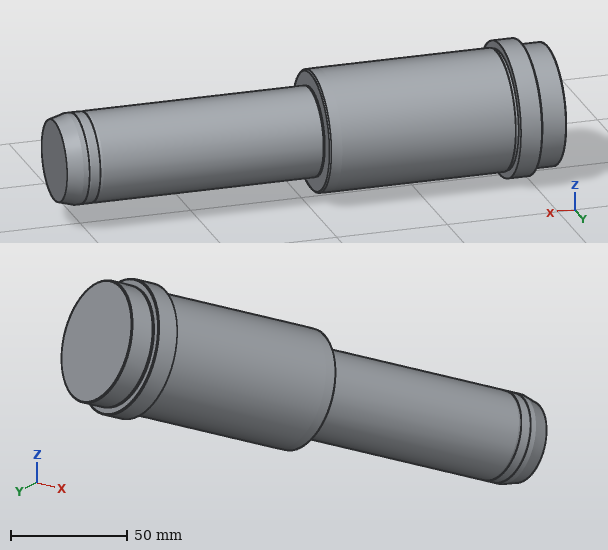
import cadquery as cq

total_length = 223.0
flange_start = 11.8
flange_end = 21.6
lead_start = 101.5
body_end = 107.0
wide_groove_start = 207.2
narrow_groove_start = 212.5
tip_start = 216.0

flange_radius = 60.0 / 2
body_radius = 54.0 / 2
shaft_radius = 40.0 / 2
tip_end_radius = 18.0

end_chamfer = 0.5
flange_chamfer = 0.5
body_chamfer = 0.7
lead_drop = 0.1

front_relief_width = 1.0
front_relief_depth = 0.2
rear_relief_width = 1.3
rear_relief_depth = 0.5
shaft_relief_width = 0.7
shaft_relief_depth = 0.11

wide_groove_width = 1.3
wide_groove_depth = 0.27
narrow_groove_width = 1.0
narrow_groove_depth = 0.2


def turned_blank():
    """Stepped pin without its grooves: flanged body, shaft and tapered tip."""
    lead_radius = body_radius - lead_drop
    half_profile = (
        cq.Workplane("XY")
        .lineTo(0, body_radius - end_chamfer)
        .lineTo(end_chamfer, body_radius)
        .lineTo(flange_start, body_radius)
        .lineTo(flange_start, flange_radius - flange_chamfer)
        .lineTo(flange_start + flange_chamfer, flange_radius)
        .lineTo(flange_end, flange_radius)
        .lineTo(flange_end, body_radius)
        .lineTo(lead_start, body_radius)
        .lineTo(body_end - body_chamfer, lead_radius)
        .lineTo(body_end, lead_radius - body_chamfer)
        .lineTo(body_end, shaft_radius)
        .lineTo(tip_start, shaft_radius)
        .lineTo(total_length, tip_end_radius)
        .lineTo(total_length, 0)
        .close()
    )
    return half_profile.revolve(360, (0, 0, 0), (1, 0, 0))


def square_groove(start, width, surface_radius, depth):
    """Ring that cuts a groove with a flat floor into a round surface."""
    return (
        cq.Workplane("YZ", origin=(start, 0, 0))
        .circle(surface_radius)
        .circle(surface_radius - depth)
        .extrude(width)
    )


def sawtooth_groove(start, width, depth):
    """Ring that cuts a groove into the shaft, sloping down toward +X to an upright wall."""
    end = start + width
    return (
        cq.Workplane("XY")
        .moveTo(start, shaft_radius)
        .lineTo(end, shaft_radius - depth)
        .lineTo(end, shaft_radius)
        .close()
        .revolve(360, (0, 0, 0), (1, 0, 0))
    )


front_relief_start = flange_start - front_relief_width
grooves = [
    square_groove(front_relief_start, front_relief_width, body_radius, front_relief_depth),
    square_groove(flange_end, rear_relief_width, body_radius, rear_relief_depth),
    square_groove(body_end, shaft_relief_width, shaft_radius, shaft_relief_depth),
    sawtooth_groove(wide_groove_start, wide_groove_width, wide_groove_depth),
    sawtooth_groove(narrow_groove_start, narrow_groove_width, narrow_groove_depth),
]

result = turned_blank()
for ring in grooves:
    result = result.cut(ring)